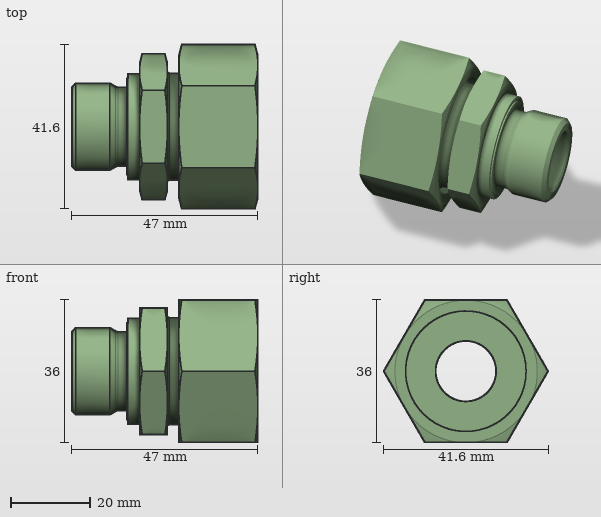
import cadquery as cq
import math


STUD_RADIUS = 11.0
STUD_TIP_CHAMFER = 1.0
STUD_THREAD_END = 9.6
NECK_RADIUS = 10.0
NECK_BLEND_RADIUS = 1.2
NECK_TAPER_ANGLE = math.radians(30)

BORE_RADIUS = 7.6
BORE_CHAMFER = 0.4

COLLAR_RADIUS = 13.45
COLLAR_START = 14.15
SEAL_RADIUS = 12.2
SEAL_PROTRUSION = 0.3
SEAL_SEAT_STEP = 0.38
SEAL_SEAT_ANGLE = math.radians(60)
SEAL_LENGTH = 1.9

HEX_FLATS = 32.0
HEX_START = 17.1
HEX_END = 24.15

SHANK_RADIUS = 13.55
SHANK_FLARE_RADIUS = 13.75
SHANK_FLARE_LENGTH = 0.4
SHANK_RELIEF_END = 27.7
SHANK_TAPER_RADIUS = 14.0
SHANK_THREAD_RADIUS = 15.25
SHANK_TAPER_ANGLE = math.radians(30)

SEAL_START = COLLAR_START - SEAL_PROTRUSION
SEAL_SEAT_RADIUS = NECK_RADIUS + SEAL_SEAT_STEP
SEAL_SEAT_LENGTH = SEAL_SEAT_STEP / math.tan(SEAL_SEAT_ANGLE)
SHANK_TAPER_END = SHANK_RELIEF_END + (SHANK_TAPER_RADIUS - SHANK_RADIUS) / math.tan(SHANK_TAPER_ANGLE)
SHANK_THREAD_START = SHANK_TAPER_END + (SHANK_THREAD_RADIUS - SHANK_TAPER_RADIUS)

NUT_FLATS = 36.0
NUT_START = 27.02
NUT_END = 47.0

HEX_CHAMFER_ANGLE = math.radians(15)


def cylinder(radius, start, end):
    """Solid cylinder on the X axis between two stations."""
    return cq.Workplane("YZ", origin=(start, 0, 0)).circle(radius).extrude(end - start)


def chamfered_hexagon(flats, start, end):
    """Hexagonal prism with flats facing +Z and -Z and its corners turned down to the flats at both ends."""
    flat_radius = flats / 2
    corner_radius = flat_radius / math.cos(math.pi / 6)
    chamfer_length = (corner_radius - flat_radius) * math.tan(HEX_CHAMFER_ANGLE)
    prism = cq.Workplane("YZ", origin=(start, 0, 0)).polygon(6, 2 * corner_radius).extrude(end - start)
    envelope = (
        cq.Workplane("XY")
        .moveTo(start, 0)
        .lineTo(start, flat_radius)
        .lineTo(start + chamfer_length, corner_radius)
        .lineTo(end - chamfer_length, corner_radius)
        .lineTo(end, flat_radius)
        .lineTo(end, 0)
        .close()
        .revolve(360, (0, 0, 0), (1, 0, 0))
    )
    return prism.intersect(envelope)


def turned_fitting():
    """Stud, neck, collar and shank as one revolved profile, without the hexagon."""
    blend_drop = NECK_BLEND_RADIUS * (1 - math.cos(NECK_TAPER_ANGLE))
    taper_end_radius = NECK_RADIUS + blend_drop
    taper_end = STUD_THREAD_END + (STUD_RADIUS - taper_end_radius) / math.tan(NECK_TAPER_ANGLE)
    blend_end = taper_end + NECK_BLEND_RADIUS * math.sin(NECK_TAPER_ANGLE)
    half_angle = NECK_TAPER_ANGLE / 2
    blend_middle = (
        blend_end - NECK_BLEND_RADIUS * math.sin(half_angle),
        NECK_RADIUS + NECK_BLEND_RADIUS * (1 - math.cos(half_angle)),
    )
    return (
        cq.Workplane("XY")
        .moveTo(0, 0)
        .lineTo(0, STUD_RADIUS - STUD_TIP_CHAMFER)
        .lineTo(STUD_TIP_CHAMFER, STUD_RADIUS)
        .lineTo(STUD_THREAD_END, STUD_RADIUS)
        .lineTo(taper_end, taper_end_radius)
        .threePointArc(blend_middle, (blend_end, NECK_RADIUS))
        .lineTo(SEAL_START, NECK_RADIUS)
        .lineTo(SEAL_START + SEAL_SEAT_LENGTH, SEAL_SEAT_RADIUS)
        .lineTo(COLLAR_START, SEAL_SEAT_RADIUS)
        .lineTo(COLLAR_START, COLLAR_RADIUS)
        .lineTo(HEX_END, COLLAR_RADIUS)
        .lineTo(HEX_END, SHANK_FLARE_RADIUS)
        .lineTo(HEX_END + SHANK_FLARE_LENGTH, SHANK_RADIUS)
        .lineTo(SHANK_RELIEF_END, SHANK_RADIUS)
        .lineTo(SHANK_TAPER_END, SHANK_TAPER_RADIUS)
        .lineTo(SHANK_THREAD_START, SHANK_THREAD_RADIUS)
        .lineTo(NUT_END, SHANK_THREAD_RADIUS)
        .lineTo(NUT_END, 0)
        .close()
        .revolve(360, (0, 0, 0), (1, 0, 0))
    )


def make_seal_ring():
    """Flat ring around the neck, standing slightly proud of the collar face."""
    end = SEAL_START + SEAL_LENGTH
    return cylinder(SEAL_RADIUS, SEAL_START, end).cut(cylinder(SEAL_SEAT_RADIUS, SEAL_START, end))


def make_fitting(seal_ring):
    """Male stud fitting with its hexagon, through bore and seal recess."""
    body = turned_fitting().union(chamfered_hexagon(HEX_FLATS, HEX_START, HEX_END))
    body = body.cut(cylinder(BORE_RADIUS, 0, NUT_END))
    bore_mouth = cq.Solid.makeCone(
        BORE_RADIUS + BORE_CHAMFER, BORE_RADIUS, BORE_CHAMFER, cq.Vector(0, 0, 0), cq.Vector(1, 0, 0)
    )
    return body.cut(cq.Workplane(bore_mouth)).cut(seal_ring)


def make_nut():
    """Hexagonal nut fitted around the threaded length of the shank."""
    bore = cylinder(SHANK_THREAD_RADIUS, NUT_START, NUT_END)
    return chamfered_hexagon(NUT_FLATS, NUT_START, NUT_END).cut(bore)


seal_ring = make_seal_ring()
fitting = make_fitting(seal_ring)
nut = make_nut()

result = cq.Compound.makeCompound([fitting.val(), seal_ring.val(), nut.val()])